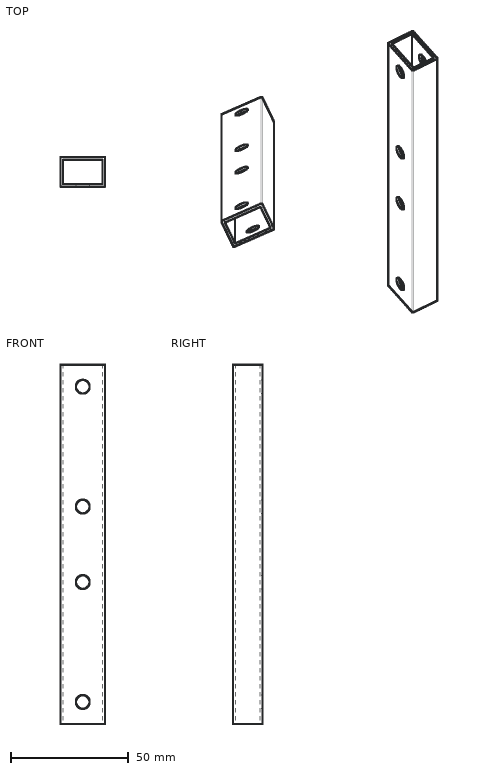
import cadquery as cq

width = 19.05
depth = 12.7
length = 152.4
wall = 1.2446
outer_corner_radius = 0.36

hole_diameter = 5.715
inner_pair_spacing = 32.004
outer_pair_spacing = 133.604


def make_tube():
    """Open-ended tube centred on the origin, with rounded outer corners and a sharp-cornered bore."""
    outer = cq.Workplane("XY").box(width, depth, length)
    rounded_outer = outer.edges("|Z").fillet(outer_corner_radius)
    bore = cq.Workplane("XY").box(width - 2 * wall, depth - 2 * wall, length)
    return rounded_outer.cut(bore)


def make_cross_holes():
    """Cylinders along Y that pass through the front and back walls."""
    centres = []
    for spacing in (inner_pair_spacing, outer_pair_spacing):
        centres.append((0, spacing / 2))
        centres.append((0, -spacing / 2))
    hole_plane = cq.Workplane("XZ").pushPoints(centres)
    return hole_plane.circle(hole_diameter / 2).extrude(depth / 2, both=True)


result = make_tube().cut(make_cross_holes())